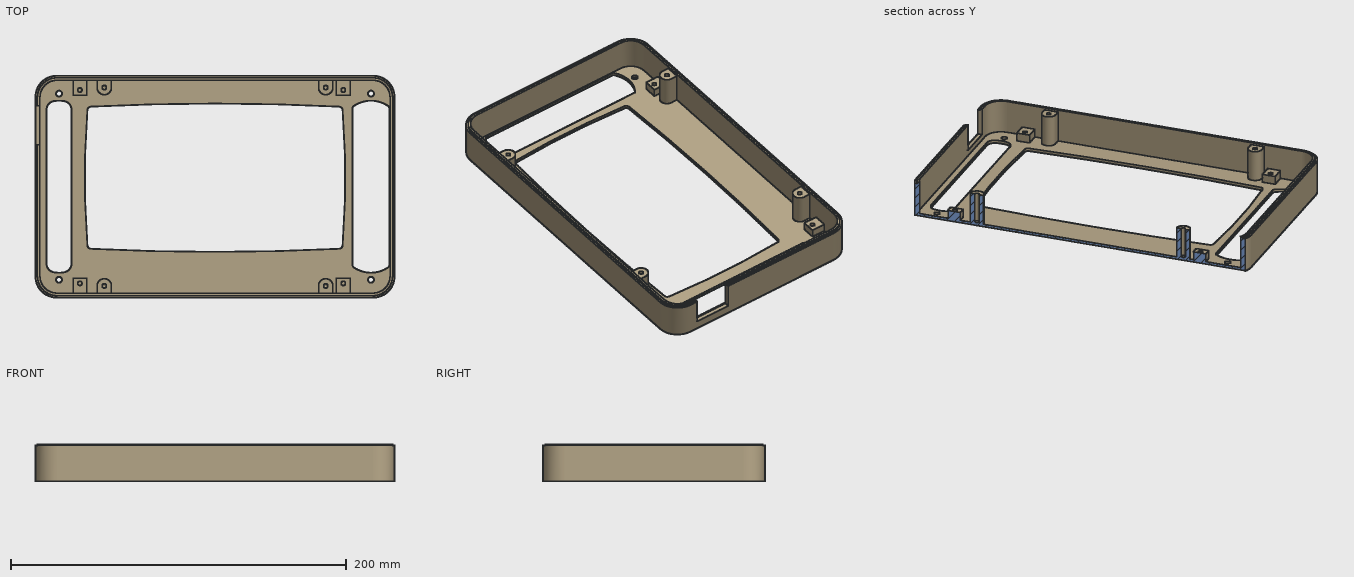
import cadquery as cq

LENGTH = 214.0
WIDTH = 132.3
HEIGHT = 22.3
CORNER_RADIUS = 12.8

WALL = 2.8
FLOOR = 2.0
LIP_WIDTH = 1.5
LIP_HEIGHT = 0.9

WINDOW_CORNER_X = 75.8
WINDOW_CORNER_Y = 42.2
WINDOW_BOW_X = 1.7
WINDOW_BOW_Y = 2.0
WINDOW_SHIFT_Y = 5.4
WINDOW_CORNER_RADIUS = 2.1

SLOT_X = 92.9
SLOT_HALF_LENGTH = 51.1
LEFT_SLOT_WIDTH = 14.8
LEFT_SLOT_ARCH = 1.5
LEFT_SLOT_CORNER_RADIUS = 5.1
RIGHT_SLOT_WIDTH = 21.8
RIGHT_SLOT_ARCH = 3.6
RIGHT_SLOT_CORNER_RADIUS = 1.7
FLOOR_HOLE_Y = 55.5
FLOOR_HOLE_DIAMETER = 3.5

POST_X = 66.0
POST_Y = 59.0
POST_DIAMETER = 8.5
POST_TOP = 21.0
POST_HOLE_DIAMETER = 2.5
POST_HOLE_TIP = 0.9
LEFT_BLOCK_X = -80.5
RIGHT_BLOCK_X = 76.5
BLOCK_WIDTH = 8.1
BLOCK_END_Y = 54.5
BLOCK_TOP = 7.0
BLOCK_HOLE_Y = 57.5
BLOCK_HOLE_DIAMETER = 2.5

NOTCH_Y_MIN = 25.0
NOTCH_Y_MAX = 48.2
NOTCH_BOTTOM = 5.5


def rounded_plate(inset, bottom, top):
    """Rounded rectangle set in from the outer outline by inset."""
    return (
        cq.Workplane("XY", origin=(0, 0, bottom))
        .rect(LENGTH - 2 * inset, WIDTH - 2 * inset)
        .extrude(top - bottom)
        .edges("|Z")
        .fillet(CORNER_RADIUS - inset)
    )


def make_tray():
    body = rounded_plate(0, 0, HEIGHT - LIP_HEIGHT)
    lip = rounded_plate(WALL - LIP_WIDTH, HEIGHT - LIP_HEIGHT, HEIGHT)
    return body.union(lip).cut(rounded_plate(WALL, FLOOR, HEIGHT))


def make_window():
    x = WINDOW_CORNER_X
    y = WINDOW_CORNER_Y
    return (
        cq.Workplane("XY", origin=(0, WINDOW_SHIFT_Y, 0))
        .moveTo(-x, -y)
        .threePointArc((0, -y - WINDOW_BOW_Y), (x, -y))
        .threePointArc((x + WINDOW_BOW_X, 0), (x, y))
        .threePointArc((0, y + WINDOW_BOW_Y), (-x, y))
        .threePointArc((-x - WINDOW_BOW_X, 0), (-x, -y))
        .close()
        .extrude(FLOOR)
        .edges("|Z")
        .fillet(WINDOW_CORNER_RADIUS)
    )


def make_slot(x, width, arch, corner_radius):
    side_y = SLOT_HALF_LENGTH - arch
    return (
        cq.Workplane("XY")
        .moveTo(x - width / 2, -side_y)
        .threePointArc((x, -SLOT_HALF_LENGTH), (x + width / 2, -side_y))
        .lineTo(x + width / 2, side_y)
        .threePointArc((x, SLOT_HALF_LENGTH), (x - width / 2, side_y))
        .close()
        .extrude(FLOOR)
        .edges("|Z")
        .fillet(corner_radius)
    )


def make_floor_holes():
    places = [(x, y) for x in (-SLOT_X, SLOT_X) for y in (-FLOOR_HOLE_Y, FLOOR_HOLE_Y)]
    return cq.Workplane("XY").pushPoints(places).circle(FLOOR_HOLE_DIAMETER / 2).extrude(FLOOR)


def make_post(x, side):
    """Post joined to the wall on the given Y side, with a blind hole whose conical tip reaches the floor."""
    wall_y = WIDTH / 2 - WALL / 2
    height = POST_TOP - FLOOR
    base = cq.Workplane("XY", origin=(x, 0, FLOOR))
    post = base.center(0, side * POST_Y).circle(POST_DIAMETER / 2).extrude(height)
    depth = wall_y - POST_Y
    web = base.center(0, side * (POST_Y + depth / 2)).rect(POST_DIAMETER, depth).extrude(height)
    hole_radius = POST_HOLE_DIAMETER / 2
    hole = (
        cq.Workplane("XZ", origin=(x, side * POST_Y, FLOOR))
        .polyline([(0, 0), (hole_radius, POST_HOLE_TIP), (hole_radius, height), (0, height)])
        .close()
        .revolve(360, (0, 0), (0, 1))
    )
    return post.union(web).cut(hole)


def make_block(x, side):
    """Block joined to the wall on the given Y side, with a blind hole down to the floor."""
    wall_y = WIDTH / 2 - WALL / 2
    height = BLOCK_TOP - FLOOR
    base = cq.Workplane("XY", origin=(x, 0, FLOOR))
    depth = wall_y - BLOCK_END_Y
    block = base.center(0, side * (BLOCK_END_Y + depth / 2)).rect(BLOCK_WIDTH, depth).extrude(height)
    hole = base.center(0, side * BLOCK_HOLE_Y).circle(BLOCK_HOLE_DIAMETER / 2).extrude(height)
    return block.cut(hole)


def make_notch():
    """Opening through the -X wall, open at the rim."""
    corner = (-LENGTH / 2, NOTCH_Y_MIN, NOTCH_BOTTOM)
    return cq.Workplane("XY", origin=corner).box(
        WALL, NOTCH_Y_MAX - NOTCH_Y_MIN, HEIGHT - NOTCH_BOTTOM, centered=False
    )


result = make_tray()
for side in (-1, 1):
    for post_x in (-POST_X, POST_X):
        result = result.union(make_post(post_x, side))
    for block_x in (LEFT_BLOCK_X, RIGHT_BLOCK_X):
        result = result.union(make_block(block_x, side))
result = (
    result.cut(make_window())
    .cut(make_slot(-SLOT_X, LEFT_SLOT_WIDTH, LEFT_SLOT_ARCH, LEFT_SLOT_CORNER_RADIUS))
    .cut(make_slot(SLOT_X, RIGHT_SLOT_WIDTH, RIGHT_SLOT_ARCH, RIGHT_SLOT_CORNER_RADIUS))
    .cut(make_floor_holes())
    .cut(make_notch())
)